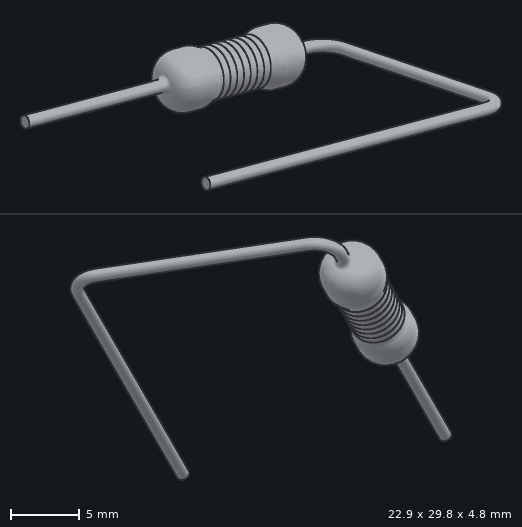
import cadquery as cq
import math

WIRE_DIAMETER = 1.0
OVERALL_WIDTH = 22.9
LEAD_LENGTH = 29.8
BEND_RADIUS = 2.0

BODY_CENTER_Y = 19.9
BARREL_RADIUS = 4.8 / 2
WAIST_RADIUS = 4.08 / 2
BAND_RADIUS = 4.1 / 2
BAND_COUNT = 4
BAND_WIDTH = 0.65
BARREL_START = 3.65
BARREL_END = 4.68
BLEND_MIDDLE = 2.9
DOME_END = 6.35
COLLAR_FILLET = 0.42

wire_radius = WIRE_DIAMETER / 2
crossbar_y = LEAD_LENGTH - wire_radius
leg_spacing = OVERALL_WIDTH - BARREL_RADIUS - wire_radius
waist_half_length = (2 * BAND_COUNT - 1) * BAND_WIDTH / 2


def make_lead():
    bend_start_y = crossbar_y - BEND_RADIUS
    path = (
        cq.Workplane("XY")
        .moveTo(0, 0)
        .lineTo(0, bend_start_y)
        .tangentArcPoint((BEND_RADIUS, crossbar_y), relative=False)
        .lineTo(leg_spacing - BEND_RADIUS, crossbar_y)
        .tangentArcPoint((leg_spacing, bend_start_y), relative=False)
        .lineTo(leg_spacing, 0)
    )
    return cq.Workplane("XZ").circle(wire_radius).sweep(path)


def make_half_body():
    """Revolve one half of the body about Y, from its centre to its collar."""
    blend_fraction = (BLEND_MIDDLE - waist_half_length) / (BARREL_START - waist_half_length)
    blend_radius = WAIST_RADIUS + blend_fraction * (BARREL_RADIUS - WAIST_RADIUS)
    collar_end = DOME_END + COLLAR_FILLET
    collar_radius = wire_radius + COLLAR_FILLET
    arc_offset = COLLAR_FILLET * math.sqrt(0.5)
    return (
        cq.Workplane("XY")
        .moveTo(0, 0)
        .lineTo(WAIST_RADIUS, 0)
        .lineTo(WAIST_RADIUS, waist_half_length)
        .tangentArcPoint((blend_radius, BLEND_MIDDLE), relative=False)
        .tangentArcPoint((BARREL_RADIUS, BARREL_START), relative=False)
        .lineTo(BARREL_RADIUS, BARREL_END)
        .tangentArcPoint((collar_radius, DOME_END), relative=False)
        .threePointArc(
            (collar_radius - arc_offset, collar_end - arc_offset),
            (wire_radius, collar_end),
        )
        .lineTo(0, collar_end)
        .close()
        .revolve(360, (0, 0), (0, 1))
    )


def make_band(index):
    """Thin raised color band around the waist."""
    start = -waist_half_length + 2 * index * BAND_WIDTH
    return cq.Workplane("XZ", origin=(0, start, 0)).circle(BAND_RADIUS).extrude(-BAND_WIDTH)


half_body = make_half_body()
body = half_body.union(half_body.mirror("XZ"))
for band_index in range(BAND_COUNT):
    body = body.union(make_band(band_index))

result = make_lead().union(body.translate((0, BODY_CENTER_Y, 0)))